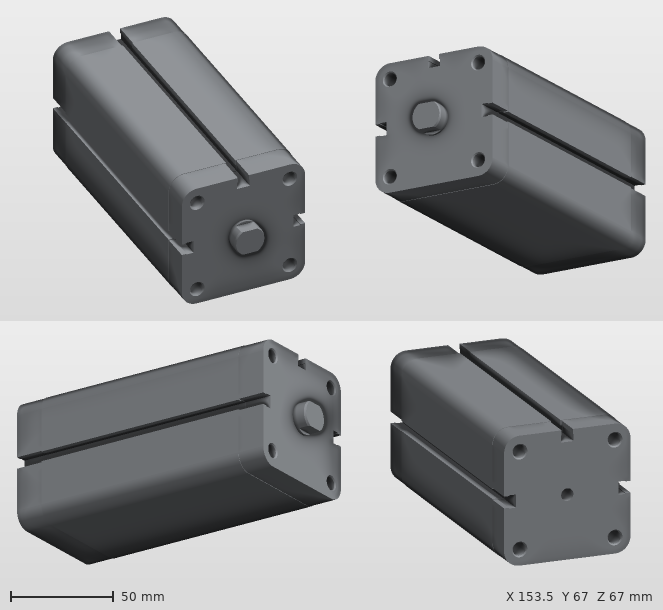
import cadquery as cq

tube_width = 67.0
tube_corner_radius = 8.3
cap_inset = 0.2
cap_length = 14.6
rod_protrusion = 7.7
overall_length = 153.5
tube_length = overall_length - 2 * cap_length - rod_protrusion

slot_lip_depth = 2.8
slot_depth = 6.1
tube_slot_mouth_width = 5.0
tube_slot_inner_width = 6.3
cap_slot_mouth_width = 6.0
cap_slot_inner_width = 6.8
cap_slot_extra_depth = 0.3
slot_angles = (0, 90, -90)

bolt_spacing = 50.0
bolt_hole_diameter = 6.8
bolt_hole_chamfer = 0.6

centre_hole_diameter = 6.5

rod_diameter = 16.1
rod_across_flats = 13.0
rod_collar_length = 1.4
rod_chamfer_length = 1.0
rod_chamfer_depth = 0.5


def section_plane(x):
    """Plane across the axis: local x along +Y, local y along +Z, normal along +X."""
    return cq.Workplane("YZ", origin=(x, 0, 0))


def slot_cutter(x, length, mouth_width, inner_width, extra_depth):
    """Undercut slot in the top face: mouth down to the floor, widened below the lip."""
    half_width = tube_width / 2
    floor = half_width - slot_depth - extra_depth
    lip = half_width - slot_lip_depth
    mouth = section_plane(x).center(0, (floor + half_width) / 2)
    mouth = mouth.rect(mouth_width, half_width - floor).extrude(length)
    inner = section_plane(x).center(0, (floor + lip) / 2)
    inner = inner.rect(inner_width, lip - floor).extrude(length)
    return mouth.union(inner)


def profile_block(x, length, inset, slot):
    """Length of the square profile, set in by inset, with three slots and four bolt holes."""
    width = tube_width - 2 * inset
    block = section_plane(x).rect(width, width).extrude(length)
    block = block.edges("|X").fillet(tube_corner_radius - inset)
    for angle in slot_angles:
        block = block.cut(slot.rotate((0, 0, 0), (1, 0, 0), angle))
    bolt_centres = section_plane(x).rect(bolt_spacing, bolt_spacing, forConstruction=True).vertices()
    return block.cut(bolt_centres.circle(bolt_hole_diameter / 2).extrude(length))


def make_tube():
    slot = slot_cutter(cap_length, tube_length, tube_slot_mouth_width, tube_slot_inner_width, 0)
    return profile_block(cap_length, tube_length, 0, slot)


def make_cap(x, outer_face):
    """End cap starting at x, with its bolt holes chamfered at the given outer face."""
    slot = slot_cutter(x, cap_length, cap_slot_mouth_width, cap_slot_inner_width, cap_slot_extra_depth)
    cap = profile_block(x, cap_length, cap_inset, slot)
    mouth_radius = bolt_hole_diameter / 2 + bolt_hole_chamfer
    cone = cap.faces(outer_face).workplane(origin=(0, 0, 0))
    cone = cone.rect(bolt_spacing, bolt_spacing, forConstruction=True).vertices()
    return cap.cut(cone.circle(mouth_radius).extrude(-mouth_radius, taper=45, combine=False))


def make_rear_cap():
    centre_hole = section_plane(0).circle(centre_hole_diameter / 2).extrude(cap_length)
    return make_cap(0, "<X").cut(centre_hole)


def make_front_cap():
    return make_cap(cap_length + tube_length, ">X")


def make_rod():
    """Rod end standing on the front cap, with two wrench flats facing up and down."""
    rod_start = overall_length - rod_protrusion
    rod = section_plane(rod_start).circle(rod_diameter / 2).extrude(rod_protrusion)
    rod = rod.faces(">X").chamfer(rod_chamfer_length, rod_chamfer_depth)
    flat_start = rod_start + rod_collar_length
    flat_length = rod_protrusion - rod_collar_length
    collar = section_plane(rod_start).circle(rod_diameter / 2).extrude(rod_collar_length)
    flats = section_plane(flat_start).rect(rod_diameter, rod_across_flats).extrude(flat_length)
    return rod.intersect(collar.union(flats))


rear_cap = make_rear_cap()
tube = make_tube()
front_cap = make_front_cap()
rod = make_rod()

result = cq.Compound.makeCompound([rear_cap.val(), tube.val(), front_cap.val(), rod.val()])